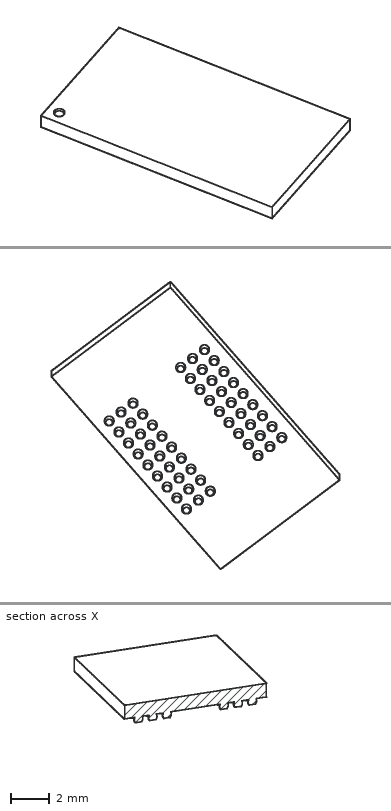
import cadquery as cq

body_length = 14.0
body_width = 8.0
body_height = 0.8

grid_size = 9
empty_rows = (3, 4, 5)
ball_pitch = body_width / (grid_size + 1)

ball_radius = 0.25
ball_height = 0.31
ball_centre_drop = 0.13

dimple_inset = 0.7
dimple_top_radius = 0.3
dimple_floor_radius = 0.24
dimple_depth = 0.1


def make_body():
    """Plain slab standing on Z = 0."""
    return cq.Workplane("XY").box(
        body_length, body_width, body_height, centered=(True, True, False)
    )


def make_dimple():
    """Tapered recess in the top face, near the -X, -Y corner."""
    dimple_x = dimple_inset - body_length / 2
    dimple_y = dimple_inset - body_width / 2
    floor_z = body_height - dimple_depth
    return (
        cq.Workplane("XY", origin=(dimple_x, dimple_y, floor_z))
        .circle(dimple_floor_radius)
        .workplane(offset=dimple_depth)
        .circle(dimple_top_radius)
        .loft(ruled=True)
    )


def make_ball():
    """One flattened ball, hanging below Z = 0 on the Z axis."""
    top_radius = (ball_radius**2 - ball_centre_drop**2) ** 0.5
    bottom_radius = (ball_radius**2 - (ball_height - ball_centre_drop) ** 2) ** 0.5
    return (
        cq.Workplane("XZ")
        .moveTo(0, 0)
        .lineTo(top_radius, 0)
        .threePointArc((ball_radius, -ball_centre_drop), (bottom_radius, -ball_height))
        .lineTo(0, -ball_height)
        .close()
        .revolve(360, (0, 0), (0, 1))
    )


def ball_centres():
    """Grid positions that carry a ball; columns run along X, rows along Y."""
    middle = (grid_size - 1) / 2
    return [
        ((column - middle) * ball_pitch, (row - middle) * ball_pitch)
        for column in range(grid_size)
        for row in range(grid_size)
        if row not in empty_rows
    ]


ball = make_ball().val()
balls = (
    cq.Workplane("XY")
    .pushPoints(ball_centres())
    .eachpoint(lambda location: ball.located(location), combine=False)
)

result = make_body().cut(make_dimple()).union(balls)